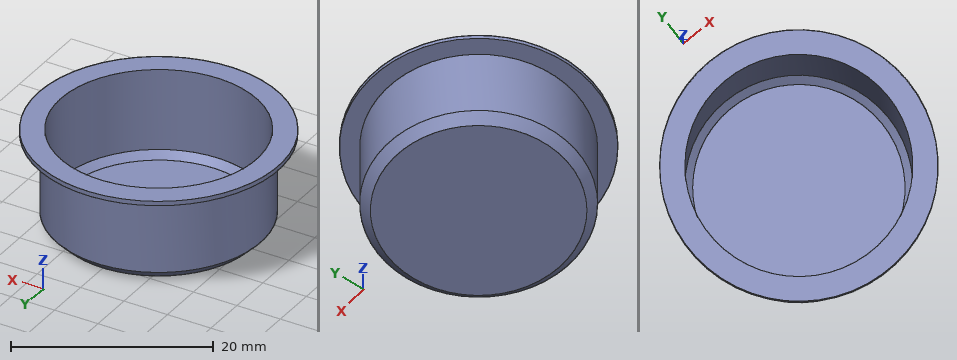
import cadquery as cq
import math

WALL = 0.5
BODY_DIAMETER = 23.5
FLANGE_DIAMETER = 27.5
TOTAL_HEIGHT = 10.5
CHAMFER_SLOPE_LENGTH = 1.5

body_radius = BODY_DIAMETER / 2
body_chamfer = CHAMFER_SLOPE_LENGTH / math.sqrt(2)
cavity_radius = body_radius - WALL
flange_radius = FLANGE_DIAMETER / 2
flange_underside = TOTAL_HEIGHT - WALL
cavity_chamfer = body_chamfer - WALL * (2 - math.sqrt(2))


def chamfered_cylinder(radius, bottom, top, chamfer):
    """Upright cylinder with a 45 degree chamfer around its bottom edge."""
    cylinder = cq.Workplane("XY").workplane(offset=bottom).circle(radius).extrude(top - bottom)
    return cylinder.faces("<Z").edges().chamfer(chamfer)


def make_flange():
    """Thin round rim at the open end of the cup."""
    return cq.Workplane("XY").workplane(offset=flange_underside).circle(flange_radius).extrude(WALL)


body = chamfered_cylinder(body_radius, 0, TOTAL_HEIGHT, body_chamfer)
cavity = chamfered_cylinder(cavity_radius, WALL, TOTAL_HEIGHT, cavity_chamfer)

result = body.union(make_flange()).cut(cavity)